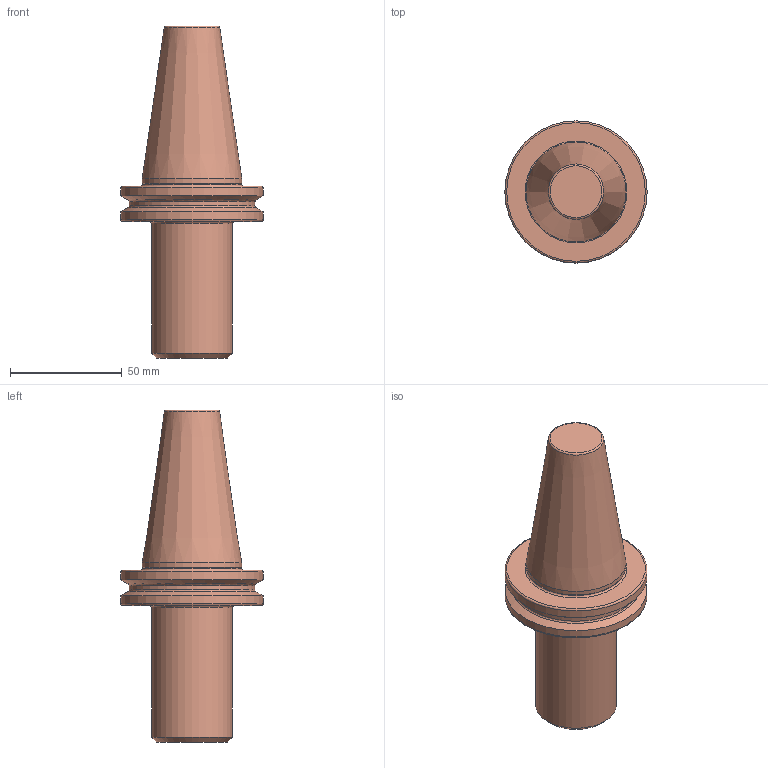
import cadquery as cq
import math

gauge_radius = 44.45 / 2
taper_length = 68.25
taper_ratio = 7 / 24
tip_radius = gauge_radius - taper_length * taper_ratio / 2
tip_fillet = 0.8

flange_radius = 63.5 / 2
flange_top = -3.2
flange_bottom = -19.05
flange_fillet = 0.8
groove_center = -11.15
groove_floor_radius = 56.25 / 2
groove_mouth_width = 7.2
groove_flank_angle = 30
groove_floor_fillet = 1

neck_band_length = 2
relief_depth = 0.3
relief_radius = gauge_radius - relief_depth
neck_fillet = 0.8

body_radius = 36 / 2
body_bottom = -80
body_chamfer = 2.2
body_fillet = 1


def revolved(profile):
    """Closed profile in the XZ plane turned once about Z."""
    return profile.close().revolve(360, (0, 0, 0), (0, 1, 0))


def disc(radius, bottom, top):
    """Cylinder about Z between two heights."""
    return cq.Workplane("XY").workplane(offset=bottom).circle(radius).extrude(top - bottom)


def taper_shank():
    """Solid cone rising from the gauge plane to its rounded tip."""
    cone = revolved(
        cq.Workplane("XZ").polyline(
            [(0, 0), (gauge_radius, 0), (tip_radius, taper_length), (0, taper_length)]
        )
    )
    return cone.faces(">Z").edges().fillet(tip_fillet)


def neck():
    """Gauge-size band that steps in at 45 degrees to the relief above the flange."""
    band_bottom = -neck_band_length
    return revolved(
        cq.Workplane("XZ").polyline([
            (0, flange_top),
            (relief_radius, flange_top),
            (relief_radius, band_bottom - relief_depth),
            (gauge_radius, band_bottom),
            (gauge_radius, 0),
            (0, 0),
        ])
    )


def groove_ring():
    """Ring to cut away: a V-groove with a flat floor and rounded floor corners."""
    depth = flange_radius - groove_floor_radius
    mouth_half = groove_mouth_width / 2
    floor_half = mouth_half - depth * math.tan(math.radians(groove_flank_angle))
    ring = revolved(
        cq.Workplane("XZ").polyline([
            (flange_radius, groove_center - mouth_half),
            (groove_floor_radius, groove_center - floor_half),
            (groove_floor_radius, groove_center + floor_half),
            (flange_radius, groove_center + mouth_half),
        ])
    )
    floor_corners = ring.edges(cq.selectors.RadiusNthSelector(0))
    return floor_corners.fillet(groove_floor_fillet)


def gripper_flange():
    """Disc with rounded rims and the V-groove around it."""
    blank = disc(flange_radius, flange_bottom, flange_top).edges("%CIRCLE").fillet(flange_fillet)
    return blank.cut(groove_ring())


def corner_fillet(radius, face_height, direction, size):
    """Ring that rounds the inside corner between a cylinder and a flange face.

    direction is +1 when the cylinder rises from the face and -1 when it hangs below.
    """
    bend = size * (1 - math.sqrt(0.5))
    return revolved(
        cq.Workplane("XZ")
        .moveTo(0, face_height)
        .lineTo(radius + size, face_height)
        .threePointArc(
            (radius + bend, face_height + direction * bend),
            (radius, face_height + direction * size),
        )
        .lineTo(0, face_height + direction * size)
    )


def body():
    """Plain cylinder hanging from the flange, chamfered at its free end."""
    return disc(body_radius, body_bottom, flange_bottom).faces("<Z").edges().chamfer(body_chamfer)


result = (
    gripper_flange()
    .union(neck())
    .union(corner_fillet(relief_radius, flange_top, 1, neck_fillet))
    .union(taper_shank())
    .union(body())
    .union(corner_fillet(body_radius, flange_bottom, -1, body_fillet))
)